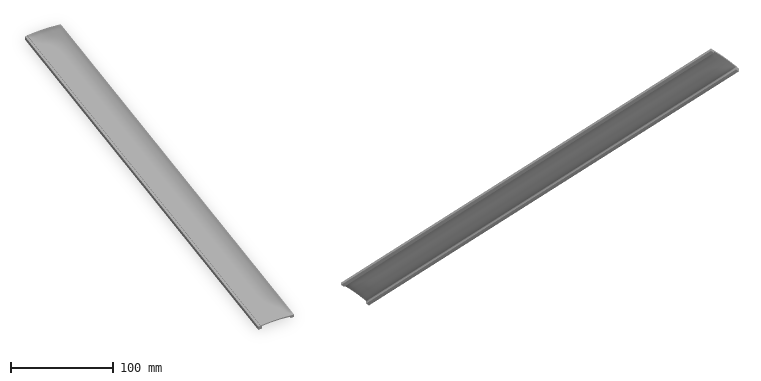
import cadquery as cq

length = 500.0
width = 39.5
height = 5.5

thickness = 1.25
arch_rise = 1.0
front_lip = 4.0
front_step = 2.5
front_lip_top = 4.0
rear_foot = 4.0
rear_foot_base = 1.5

front_y = -width / 2
rear_y = width / 2
step_y = front_y + front_step
lip_inner_y = front_y + front_lip
foot_inner_y = rear_y - rear_foot
web_mid_y = (step_y + rear_y) / 2
web_edge_z = height - arch_rise
under_mid_y = (lip_inner_y + foot_inner_y) / 2
under_edge_z = web_edge_z - thickness

profile = (
    cq.Workplane("YZ", origin=(-length / 2, 0, 0))
    .moveTo(front_y, 0)
    .lineTo(front_y, front_lip_top)
    .lineTo(step_y, front_lip_top)
    .lineTo(step_y, web_edge_z)
    .threePointArc((web_mid_y, height), (rear_y, web_edge_z))
    .lineTo(rear_y, rear_foot_base)
    .lineTo(foot_inner_y, rear_foot_base)
    .lineTo(foot_inner_y, under_edge_z)
    .threePointArc((under_mid_y, height - thickness), (lip_inner_y, under_edge_z))
    .lineTo(lip_inner_y, 0)
    .close()
)

result = profile.extrude(length)